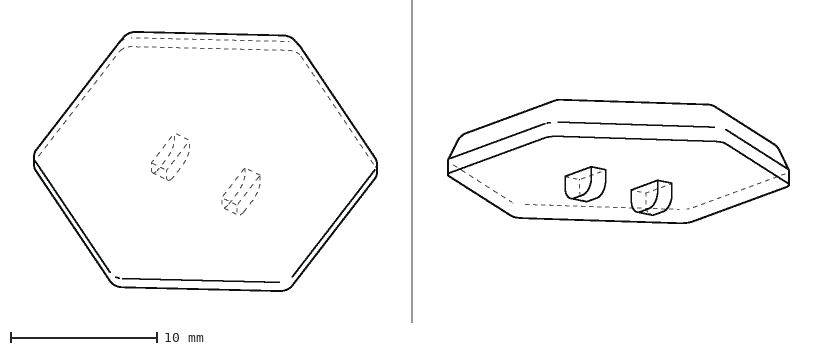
import cadquery as cq
import math

side_count = 6
corner_span = 23.48
cap_height = 3.0
rim_height = 1.0
slope_angle = 22.5
edge_radius = 1.0

tab_thickness = 1.22
tab_width = 3.0
tab_length = 1.78
tab_spacing = 5.65
tab_corner_radius = 1.0

half_side_angle = 180 / side_count
corner_loss = edge_radius * (1 / math.cos(math.radians(half_side_angle)) - 1)
sharp_span = corner_span + 2 * corner_loss


def make_cap():
    """Hexagonal plate with a vertical rim, sloped sides and rounded edges."""
    rim = (
        cq.Workplane("XY")
        .transformed(rotate=(0, 0, half_side_angle))
        .polygon(side_count, sharp_span)
        .extrude(rim_height)
    )
    sloped_part = (
        rim.faces(">Z")
        .wires()
        .toPending()
        .workplane()
        .extrude(cap_height - rim_height, taper=slope_angle, combine=False)
    )
    sharp_cap = rim.union(sloped_part)
    rounded_corners = sharp_cap.edges("not #Z").fillet(edge_radius)
    return rounded_corners.faces(">Z").edges().fillet(edge_radius)


def make_tab(x_centre):
    """Flat tab hanging from the underside, rounded at its two lower corners."""
    return (
        cq.Workplane("XY")
        .box(tab_thickness, tab_width, tab_length, centered=(True, True, False))
        .edges("|X and <Z")
        .fillet(tab_corner_radius)
        .translate((x_centre, 0, -tab_length))
    )


result = make_cap()
for side in (-1, 1):
    result = result.union(make_tab(side * tab_spacing / 2))